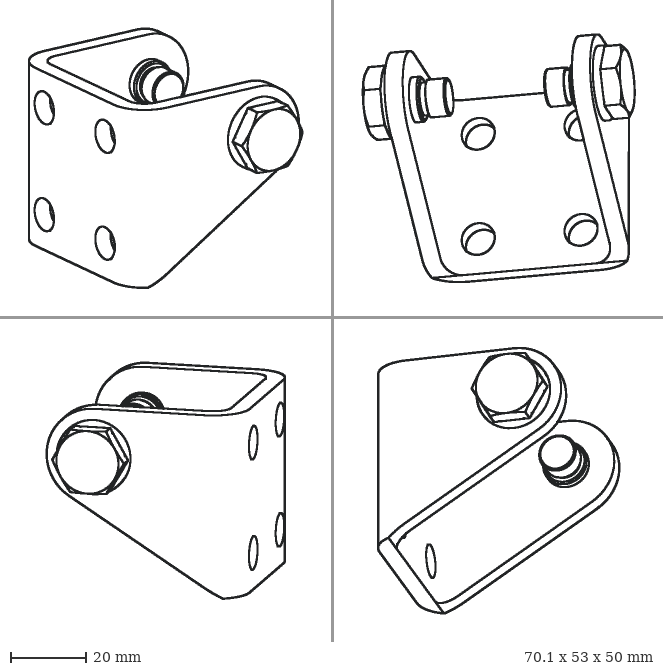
import cadquery as cq
import math

overall_width = 70.1
bracket_width = 56.1
bracket_depth = 53.0
bracket_height = 50.0
plate = 5.0
inner_bend_radius = 5.05
bend_radius = inner_bend_radius + plate
ear_radius = 13.05
foot_depth = plate

hole_diameter = 9.0
hole_spacing_x = 28.05
hole_spacing_z = 30.0
upper_hole_drop = 10.0

collar_length = 1.95
collar_diameter = 20.0
collar_fillet = 1.0
head_sides = 6
hex_across_flats = 17.0
spigot_length = 2.5
spigot_diameter = 12.05
spigot_chamfer = 0.5
neck_length = 1.7
neck_diameter = 8.8
tip_length = 5.4
tip_diameter = 10.1
tip_chamfer = 0.4
hex_chamfer_angle = 30.0

half_width = bracket_width / 2
pivot_y = bracket_depth - ear_radius
pivot_z = bracket_height - ear_radius
head_length = (overall_width - bracket_width) / 2 - collar_length


def bent_plate():
    """U-shaped channel of constant thickness with rounded bends."""
    outer = (
        cq.Workplane("XY")
        .rect(bracket_width, 2 * bracket_depth)
        .extrude(bracket_height)
        .edges("|Z and <Y")
        .fillet(bend_radius)
        .translate((0, bracket_depth, 0))
    )
    inner = (
        cq.Workplane("XY")
        .rect(bracket_width - 2 * plate, 2 * bracket_depth)
        .extrude(bracket_height)
        .edges("|Z and <Y")
        .fillet(inner_bend_radius)
        .translate((0, bracket_depth + plate, 0))
    )
    return outer.cut(inner)


def ear_outline():
    """Side profile: flat top, round nose about the pivot, slope tangent to it down to the foot."""
    to_foot_y = foot_depth - pivot_y
    to_foot_z = -pivot_z
    foot_direction = math.atan2(to_foot_z, to_foot_y)
    tangent_angle = foot_direction + math.acos(ear_radius / math.hypot(to_foot_y, to_foot_z))
    tangent_point = (
        pivot_y + ear_radius * math.cos(tangent_angle),
        pivot_z + ear_radius * math.sin(tangent_angle),
    )
    return (
        cq.Workplane("YZ")
        .moveTo(0, 0)
        .lineTo(0, bracket_height)
        .lineTo(pivot_y, bracket_height)
        .threePointArc((bracket_depth, pivot_z), tangent_point)
        .lineTo(foot_depth, 0)
        .close()
        .extrude(half_width, both=True)
    )


def mounting_holes():
    """Four cylinders that pierce the web along Y."""
    centre_z = bracket_height - upper_hole_drop - hole_spacing_z / 2
    return (
        cq.Workplane("XZ", origin=(0, 0, centre_z))
        .rarray(hole_spacing_x, hole_spacing_z, 2, 2)
        .circle(hole_diameter / 2)
        .extrude(-bend_radius)
    )


def shaft_section(start, length, diameter):
    """Round bolt section along +X, beginning at the given X."""
    return cq.Workplane("YZ", origin=(start, 0, 0)).circle(diameter / 2).extrude(length)


def hex_head():
    """Hexagon with corners toward +Y and -Y, its outer corners turned off by a cone."""
    across_corners = hex_across_flats / math.cos(math.pi / head_sides)
    prism = cq.Workplane("YZ").polygon(head_sides, across_corners).extrude(head_length)
    face_radius = hex_across_flats / 2
    cone_slope = math.tan(math.radians(hex_chamfer_angle))
    cone_radius = face_radius + head_length / cone_slope
    cone = (
        cq.Workplane("XY")
        .polyline([(0, 0), (0, face_radius), (head_length, cone_radius), (head_length, 0)])
        .close()
        .revolve(360, (0, 0, 0), (1, 0, 0))
    )
    return prism.intersect(cone)


def pivot_bolt():
    """Bolt along +X with the outer face of its head at X = 0."""
    spigot_start = head_length + collar_length
    spigot_span = plate + spigot_length
    neck_start = spigot_start + spigot_span
    tip_start = neck_start + neck_length
    collar = shaft_section(head_length, collar_length, collar_diameter).edges("<X").fillet(collar_fillet)
    spigot = shaft_section(spigot_start, spigot_span, spigot_diameter).edges(">X").chamfer(spigot_chamfer)
    neck = shaft_section(neck_start, neck_length, neck_diameter)
    tip = shaft_section(tip_start, tip_length, tip_diameter).edges(">X").chamfer(tip_chamfer)
    return hex_head().union(collar).union(spigot).union(neck).union(tip)


bracket = bent_plate().intersect(ear_outline()).cut(mounting_holes())
left_bolt = pivot_bolt().translate((-overall_width / 2, pivot_y, pivot_z))
right_bolt = left_bolt.mirror("YZ")
result = bracket.union(left_bolt).union(right_bolt)